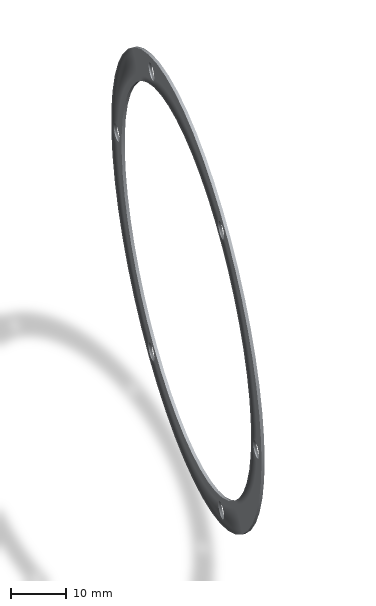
import cadquery as cq

outer_diameter = 90.5
inner_diameter = 78.0
thickness = 0.6

hole_count = 6
hole_diameter = 3.4
bolt_circle_diameter = 84.0

ring = (
    cq.Workplane("XZ")
    .circle(outer_diameter / 2)
    .circle(inner_diameter / 2)
    .extrude(thickness / 2, both=True)
)

bolt_holes = (
    cq.Workplane("XZ")
    .polarArray(bolt_circle_diameter / 2, 0, 360, hole_count)
    .circle(hole_diameter / 2)
    .extrude(thickness, both=True)
)

result = ring.cut(bolt_holes)